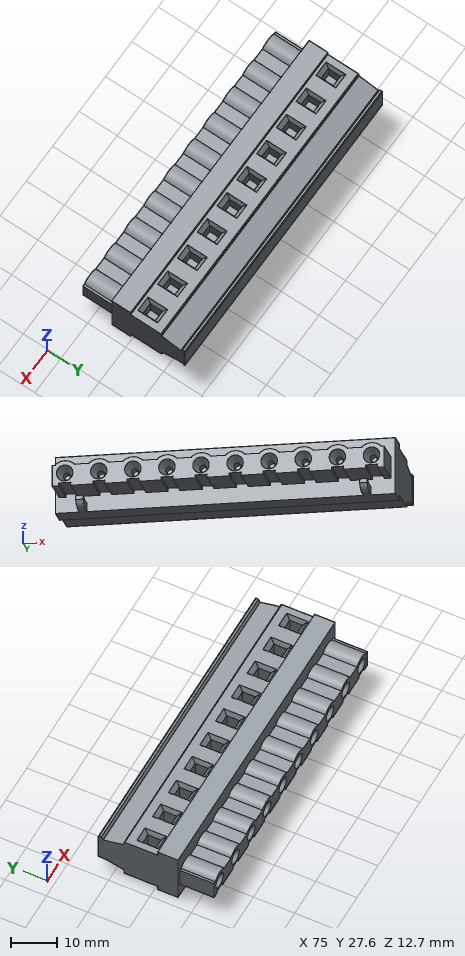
import cadquery as cq


total_length = 75.0
total_depth = 27.6
total_height = 12.7

pole_count = 10
pole_pitch = 7.5

rear_overhang = 0.2
housing_length = total_length - rear_overhang
plug_depth = 8.25
housing_depth = total_depth - plug_depth
collar_depth = 4.95
collar_step = 1.05
shoulder_y = 13.1
shoulder_top = total_height - collar_step
shoulder_bottom = collar_step
shoulder_chamfer = 0.2
slope_top = 10.7
slope_bottom = 2.2
underside_bend_y = 16.7
underside_bend_z = 3.15
rear_bottom = 3.4

groove_y = 18.15
groove_z = 9.5
lip_top = 10.3
lip_front_y = 18.6
lip_chamfer = 0.2

rear_plate_thickness = 0.2

plug_length = 73.0
plug_bottom = 3.5
plug_top = 8.25
barrel_radius = 3.1
barrel_top = 9.15
notch_width = 2.6
notch_height = 0.7

contact_z = 6.4
funnel_diameter = 3.6
bore_diameter = 1.6
funnel_depth = 2.6
opening_depth = 4.5

window_y = 8.25
window_width = 3.8
window_length = 5.2
well_width = 2.7
well_length = 3.15
window_taper_depth = 1.2
window_depth = 4.5

latch_width = 1.65
latch_spacing = 62.5
latch_top = 1.8
arm_length = 3.0
heel_y = -1.95
heel_mid = (-3.1, 0.2)
sole_end = (-3.8, 0.7)
nose_peak = (-3.8, 2.55)
nose_mid = (-4.4, 2.1)
nose_tip = (-4.5, 1.4)

pole_positions = [(i - (pole_count - 1) / 2) * pole_pitch for i in range(pole_count)]


def extrude_along_x(sketch, length):
    """Extrude a YZ outline symmetrically about X = 0."""
    return sketch.extrude(length / 2, both=True)


def make_housing():
    """Collar at the front, shoulder behind it, then a taper to the lipped rear edge."""
    outline = (
        cq.Workplane("YZ")
        .moveTo(0, 0)
        .lineTo(0, total_height)
        .lineTo(collar_depth, total_height)
        .lineTo(collar_depth, shoulder_top)
        .lineTo(shoulder_y - shoulder_chamfer, shoulder_top)
        .lineTo(shoulder_y, shoulder_top - shoulder_chamfer)
        .lineTo(shoulder_y, slope_top)
        .lineTo(groove_y, groove_z)
        .lineTo(lip_front_y, lip_top)
        .lineTo(housing_depth - lip_chamfer, lip_top)
        .lineTo(housing_depth, lip_top - lip_chamfer)
        .lineTo(housing_depth, rear_bottom)
        .lineTo(underside_bend_y, underside_bend_z)
        .lineTo(shoulder_y, slope_bottom)
        .lineTo(shoulder_y, shoulder_bottom)
        .lineTo(collar_depth, shoulder_bottom)
        .lineTo(collar_depth, 0)
        .close()
    )
    return extrude_along_x(outline, housing_length)


def make_rear_plate():
    """Thin plate on the rear face that stands out past the +X end."""
    plate_height = lip_top - lip_chamfer - rear_bottom
    return cq.Workplane("XY").box(
        total_length, rear_plate_thickness, plate_height, centered=False
    ).translate((-housing_length / 2, housing_depth - rear_plate_thickness, rear_bottom))


def make_plug():
    """Bar with one round barrel and one underside notch per pole."""
    plug = cq.Workplane("XY").box(
        plug_length, plug_depth, plug_top - plug_bottom, centered=(True, False, False)
    ).translate((0, -plug_depth, plug_bottom))
    barrels = (
        cq.Workplane("XZ")
        .pushPoints([(x, barrel_top - barrel_radius) for x in pole_positions])
        .circle(barrel_radius)
        .extrude(plug_depth)
    )
    above_bar = cq.Workplane("XY").box(
        plug_length, plug_depth, barrel_top - plug_top, centered=(True, False, False)
    ).translate((0, -plug_depth, plug_top))
    notches = (
        cq.Workplane("XZ")
        .pushPoints([(x, plug_bottom) for x in pole_positions])
        .rect(notch_width, 2 * notch_height)
        .extrude(plug_depth)
    )
    return plug.union(barrels.intersect(above_bar)).cut(notches)


def make_contact_opening(x):
    """Cone narrowing into a short blind bore."""
    half_profile = (
        cq.Workplane("XY")
        .moveTo(0, 0)
        .lineTo(funnel_diameter / 2, 0)
        .lineTo(bore_diameter / 2, funnel_depth)
        .lineTo(bore_diameter / 2, opening_depth)
        .lineTo(0, opening_depth)
        .close()
    )
    return half_profile.revolve(360, (0, 0), (0, 1)).translate((x, -plug_depth, contact_z))


def make_window(x):
    """Rectangular lead-in that narrows to a straight-walled blind well."""
    lead_in = (
        cq.Workplane("XY", origin=(x, window_y, shoulder_top))
        .rect(window_width, window_length)
        .workplane(offset=-window_taper_depth)
        .rect(well_width, well_length)
        .loft(combine=True)
    )
    well = (
        cq.Workplane("XY", origin=(x, window_y, shoulder_top - window_depth))
        .rect(well_width, well_length)
        .extrude(window_depth - window_taper_depth)
    )
    return lead_in.union(well)


def make_latch(x):
    """Arm below the plug ending in an upturned nose."""
    outline = (
        cq.Workplane("YZ")
        .moveTo(0, 0)
        .lineTo(0, latch_top)
        .lineTo(-arm_length, latch_top)
        .lineTo(*nose_peak)
        .threePointArc(nose_mid, nose_tip)
        .lineTo(*sole_end)
        .threePointArc(heel_mid, (heel_y, 0))
        .close()
    )
    return extrude_along_x(outline, latch_width).translate((x, 0, 0))


result = make_housing().union(make_rear_plate()).union(make_plug())
for side in (-1, 1):
    result = result.union(make_latch(side * latch_spacing / 2))
for pole_x in pole_positions:
    result = result.cut(make_contact_opening(pole_x))
    result = result.cut(make_window(pole_x))